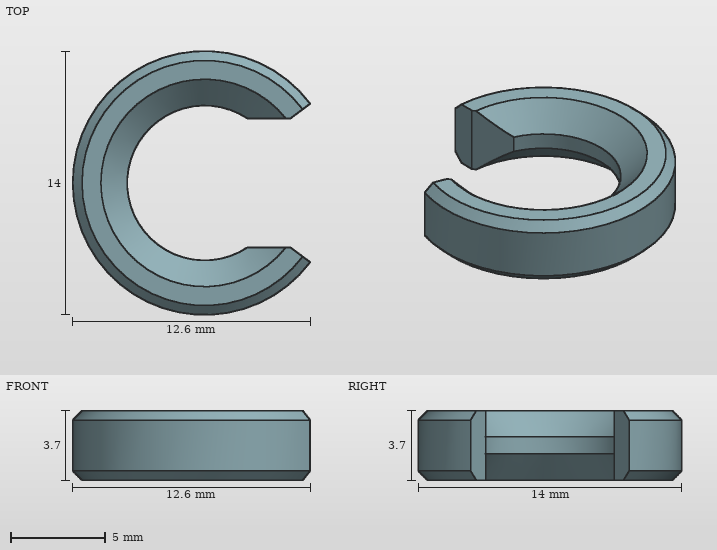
import cadquery as cq
import math

outer_radius = 7.0
bore_radius = 4.1
thickness = 3.7
rim_chamfer = 0.5
countersink_radius = 5.5
countersink_depth = countersink_radius - bore_radius

gap_width = 6.82
mouth_x = 5.6
mouth_half_width = math.sqrt(outer_radius**2 - mouth_x**2)


def ring():
    """Full ring with chamfered rims and a bore countersunk from both faces."""
    half = thickness / 2
    bore_half = half - countersink_depth
    rim_half = half - rim_chamfer
    return (
        cq.Workplane("XZ")
        .moveTo(bore_radius, -bore_half)
        .lineTo(countersink_radius, -half)
        .lineTo(outer_radius - rim_chamfer, -half)
        .lineTo(outer_radius, -rim_half)
        .lineTo(outer_radius, rim_half)
        .lineTo(outer_radius - rim_chamfer, half)
        .lineTo(countersink_radius, half)
        .lineTo(bore_radius, bore_half)
        .close()
        .revolve(360, (0, 0, 0), (0, 1, 0))
    )


def gap():
    """Opening on the +X side: parallel walls that turn radially outward at the mouth."""
    half_gap = gap_width / 2
    flare_slope = mouth_half_width / mouth_x
    flare_start_x = half_gap / flare_slope
    cutter_end_x = 2 * outer_radius
    cutter_half_width = flare_slope * cutter_end_x
    return (
        cq.Workplane("XY")
        .polyline(
            [
                (0, -half_gap),
                (flare_start_x, -half_gap),
                (cutter_end_x, -cutter_half_width),
                (cutter_end_x, cutter_half_width),
                (flare_start_x, half_gap),
                (0, half_gap),
            ]
        )
        .close()
        .extrude(thickness, both=True)
    )


result = ring().cut(gap())